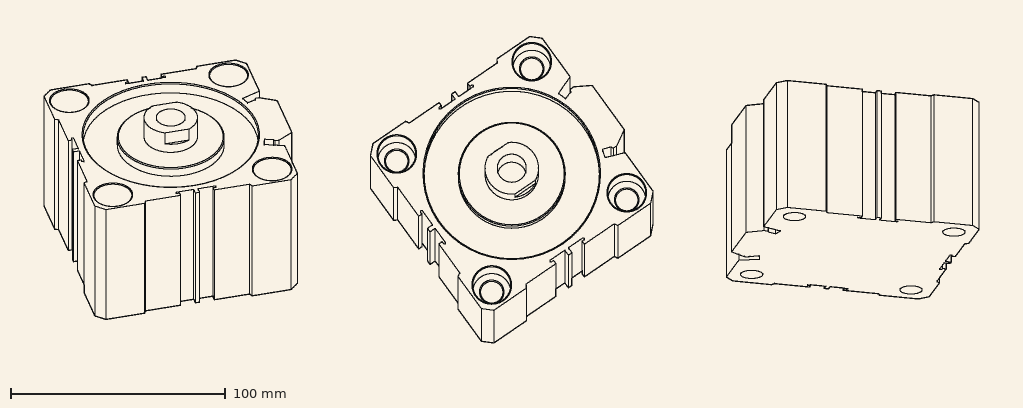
import cadquery as cq

BLOCK_SIDE = 98.0
BLOCK_HEIGHT = 63.5
OVERALL_LENGTH_Y = 104.0
HALF_SIDE = BLOCK_SIDE / 2
CORNER_CUT_X = 4.1
CORNER_CUT_Y = 4.3

RAIL_TOP_Y = OVERALL_LENGTH_Y - HALF_SIDE
RAIL_TOP_HALF_WIDTH = 13.0
RAIL_LIP_X = 17.4
RAIL_LIP_TOP_Y = 47.6
RAIL_LIP_BOTTOM_Y = 45.7
RAIL_NECK = (16.2, 45.1)
GROOVE_FLOOR_INNER = (14.9, 41.2)
GROOVE_FLOOR_OUTER = (18.8, 39.9)
GROOVE_BEND = (20.3, 43.6)
GROOVE_MOUTH_X = 22.3

RECESS_DEPTH = 1.7
RECESS_MOUTH_HALF_WIDTH = 26.0
RECESS_FLOOR_HALF_WIDTH = 25.2
SLOT_MOUTH_HALF_WIDTH = 8.1
SLOT_LIP_THICKNESS = 1.9
SLOT_UNDERCUT_HALF_WIDTH = 9.7
SLOT_UNDERCUT_DEPTH = 1.0
RIB_HALF_WIDTH = 1.0

HOLE_OFFSET = 38.5
HOLE_RADIUS = 5.2
HOLE_BEVEL = 0.5
COUNTERBORE_RADIUS = 8.8
COUNTERBORE_DEPTH = 13.5
COUNTERBORE_BEVEL = 0.4

TOP_RECESS_RADIUS = 40.9
TOP_RECESS_DEPTH = 5.7
TOP_RECESS_BEVEL = 0.5
BOSS_RADIUS = 25.0
BOSS_HEIGHT = 4.7
BOSS_BEVEL = 0.5

ROD_RADIUS = 12.5
ROD_TOP_Z = 73.5
ROD_SEAT_DEPTH = 20.8
ROD_HOLE_RADIUS = 6.8
ROD_HOLE_DEPTH = 15.6
FLAT_OFFSET = 11.0
FLAT_HEIGHT = 6.3

RECESS_FLOOR_Z = BLOCK_HEIGHT - TOP_RECESS_DEPTH
ROD_BASE_Z = BLOCK_HEIGHT - ROD_SEAT_DEPTH


def block_profile():
    """Square with cut corners, plus the rail and its two grooves on the +Y side."""
    right_half = [
        (HALF_SIDE - CORNER_CUT_X, -HALF_SIDE),
        (HALF_SIDE, -HALF_SIDE + CORNER_CUT_Y),
        (HALF_SIDE, HALF_SIDE - CORNER_CUT_Y),
        (HALF_SIDE - CORNER_CUT_X, HALF_SIDE),
        (GROOVE_MOUTH_X, HALF_SIDE),
        GROOVE_BEND,
        GROOVE_FLOOR_OUTER,
        GROOVE_FLOOR_INNER,
        RAIL_NECK,
        (RAIL_LIP_X, RAIL_LIP_BOTTOM_Y),
        (RAIL_LIP_X, RAIL_LIP_TOP_Y),
        (RAIL_TOP_HALF_WIDTH, RAIL_TOP_Y),
    ]
    left_half = [(-x, y) for x, y in reversed(right_half)]
    return right_half + left_half


def side_recess_cutter():
    """Recess and T-slot of the -Y side, with the rib left standing."""
    recess_floor_y = -HALF_SIDE + RECESS_DEPTH
    lip_inner_y = recess_floor_y + SLOT_LIP_THICKNESS
    slot_floor_y = lip_inner_y + SLOT_UNDERCUT_DEPTH
    round_radius = SLOT_UNDERCUT_DEPTH / 2
    round_start_x = SLOT_UNDERCUT_HALF_WIDTH - round_radius
    half_slot = (
        cq.Workplane("XY")
        .moveTo(-RECESS_MOUTH_HALF_WIDTH, -HALF_SIDE)
        .lineTo(-RECESS_FLOOR_HALF_WIDTH, recess_floor_y)
        .lineTo(-SLOT_MOUTH_HALF_WIDTH, recess_floor_y)
        .lineTo(-SLOT_MOUTH_HALF_WIDTH, lip_inner_y)
        .lineTo(-round_start_x, lip_inner_y)
        .threePointArc(
            (-SLOT_UNDERCUT_HALF_WIDTH, lip_inner_y + round_radius),
            (-round_start_x, slot_floor_y),
        )
        .lineTo(-RIB_HALF_WIDTH, slot_floor_y)
        .lineTo(-RIB_HALF_WIDTH, recess_floor_y)
        .lineTo(0, recess_floor_y)
        .lineTo(0, -HALF_SIDE)
        .close()
        .extrude(BLOCK_HEIGHT)
    )
    return half_slot.union(half_slot.mirror("YZ"))


def mounting_hole_cutter(x, y):
    """Turned shape of one counterbored hole with both edges bevelled."""
    counterbore_floor_z = BLOCK_HEIGHT - COUNTERBORE_DEPTH
    half_section = [
        (0, 0),
        (HOLE_RADIUS, 0),
        (HOLE_RADIUS, counterbore_floor_z - HOLE_BEVEL),
        (HOLE_RADIUS + HOLE_BEVEL, counterbore_floor_z),
        (COUNTERBORE_RADIUS, counterbore_floor_z),
        (COUNTERBORE_RADIUS, BLOCK_HEIGHT - COUNTERBORE_BEVEL),
        (COUNTERBORE_RADIUS + COUNTERBORE_BEVEL, BLOCK_HEIGHT),
        (0, BLOCK_HEIGHT),
    ]
    turned = cq.Workplane("XZ").polyline(half_section).close().revolve(360, (0, 0), (0, 1))
    return turned.translate((x, y, 0))


def top_recess_cutter():
    """Ring-shaped recess that leaves the bevelled boss standing."""
    recess = (
        cq.Workplane("XY", origin=(0, 0, RECESS_FLOOR_Z))
        .circle(TOP_RECESS_RADIUS)
        .extrude(TOP_RECESS_DEPTH)
    )
    edge_bevel = (
        cq.Workplane("XY", origin=(0, 0, BLOCK_HEIGHT))
        .circle(TOP_RECESS_RADIUS + TOP_RECESS_BEVEL)
        .extrude(-TOP_RECESS_BEVEL, taper=45)
    )
    boss = (
        cq.Workplane("XY", origin=(0, 0, RECESS_FLOOR_Z))
        .circle(BOSS_RADIUS)
        .extrude(BOSS_HEIGHT)
        .faces(">Z")
        .chamfer(BOSS_BEVEL)
    )
    return recess.union(edge_bevel).cut(boss)


def rod_cylinder():
    """Full rod cylinder: the rod's blank and also the shape of its seat in the housing."""
    return (
        cq.Workplane("XY", origin=(0, 0, ROD_BASE_Z))
        .circle(ROD_RADIUS)
        .extrude(ROD_TOP_Z - ROD_BASE_Z)
    )


def make_housing():
    """Block with recessed sides on -Y, +X and -X, corner holes, top recess and rod seat."""
    body = cq.Workplane("XY").polyline(block_profile()).close().extrude(BLOCK_HEIGHT)
    for angle in (0, 90, -90):
        body = body.cut(side_recess_cutter().rotate((0, 0, 0), (0, 0, 1), angle))
    for x in (-HOLE_OFFSET, HOLE_OFFSET):
        for y in (-HOLE_OFFSET, HOLE_OFFSET):
            body = body.cut(mounting_hole_cutter(x, y))
    return body.cut(top_recess_cutter()).cut(rod_cylinder())


def make_rod():
    """Rod with a blind end hole and two wrench flats facing -X and +X."""
    end_hole = (
        cq.Workplane("XY", origin=(0, 0, ROD_TOP_Z))
        .circle(ROD_HOLE_RADIUS)
        .extrude(-ROD_HOLE_DEPTH)
    )
    flat_zone = (
        cq.Workplane("XY", origin=(0, 0, ROD_TOP_Z))
        .circle(ROD_RADIUS)
        .extrude(-FLAT_HEIGHT)
    )
    between_flats = (
        cq.Workplane("XY", origin=(0, 0, ROD_TOP_Z))
        .rect(2 * FLAT_OFFSET, 2 * ROD_RADIUS)
        .extrude(-FLAT_HEIGHT)
    )
    return rod_cylinder().cut(flat_zone.cut(between_flats)).cut(end_hole)


housing = make_housing()
rod = make_rod()

result = cq.Compound.makeCompound([housing.val(), rod.val()])